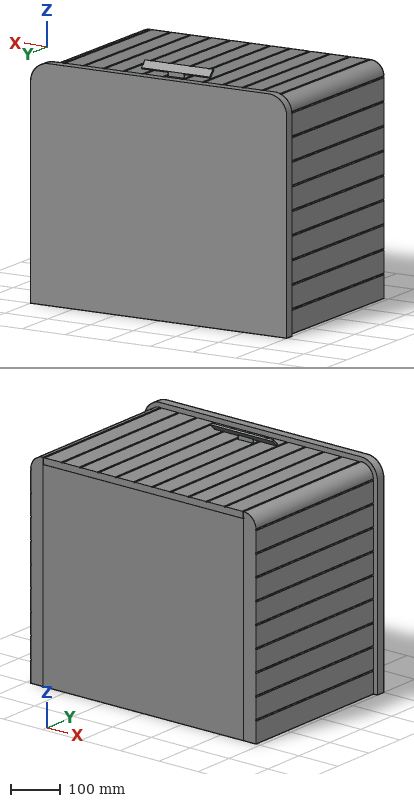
import cadquery as cq
import math


width = 600.0
depth = 400.0
height = 513.5
back_height = 500.5
back_thickness = 21.0
back_corner_radius = 42.0
back_margin = 10.0
lid_thickness = 15.0
lid_gap = 2.0
front_thickness = 15.0

groove_width = 3.95
groove_depth = 1.5
side_planks = 9
lid_planks = 11

grip_width = 159.5
grip_thickness = 4.0
grip_length = 19.0
grip_tilt = 45.0
handle_setback = 66.5
tab_width = 36.0
tab_thickness = 5.5
tab_edge_radius = 1.0

body_width = width - 2 * back_margin
body_height = back_height - back_margin
body_depth = depth - back_thickness
side_thickness = back_corner_radius - back_margin
inner_width = body_width - 2 * side_thickness
lid_width = inner_width - 2 * lid_gap
lid_depth = body_depth - lid_gap
front_height = body_height - lid_thickness


def groove(x, z, length, turn):
    """V-groove cutter along Y, opening upward and then turned about its own axis."""
    cutter = (
        cq.Workplane("XZ")
        .moveTo(-groove_width / 2, 0)
        .lineTo(0, -groove_depth)
        .lineTo(groove_width / 2, 0)
        .close()
        .extrude(-length)
    )
    return cutter.rotate((0, 0, 0), (0, 1, 0), turn).translate((x, 0, z))


def make_back():
    """Plate with two rounded upper corners that closes the rear of the chest."""
    plate = cq.Workplane("XZ").rect(width, back_height).extrude(-back_thickness)
    plate = plate.translate((0, body_depth, back_height / 2))
    return plate.edges("|Y and >Z").fillet(back_corner_radius)


def make_left_side():
    """Side wall whose outer upper corner is rounded, with plank grooves on its outer face."""
    outer_x = -body_width / 2
    straight_height = body_height - side_thickness
    side = (
        cq.Workplane("XZ")
        .moveTo(outer_x, 0)
        .lineTo(outer_x, straight_height)
        .radiusArc((outer_x + side_thickness, body_height), side_thickness)
        .lineTo(outer_x + side_thickness, 0)
        .close()
        .extrude(-body_depth)
    )
    plank_height = straight_height / side_planks
    for i in range(1, side_planks + 1):
        side = side.cut(groove(outer_x, i * plank_height, body_depth, -90))
    return side


def make_front():
    """Plain panel standing between the sides, under the lid."""
    return cq.Workplane("XY").box(inner_width, front_thickness, front_height, centered=(True, False, False))


def make_lid():
    """Flat lid between the sides, with plank grooves on top and half a groove along each edge."""
    lid = (
        cq.Workplane("XY")
        .box(lid_width, lid_depth, lid_thickness, centered=(True, False, False))
        .translate((0, 0, front_height))
    )
    plank_width = lid_width / lid_planks
    for i in range(lid_planks + 1):
        lid = lid.cut(groove(i * plank_width - lid_width / 2, body_height, lid_depth, 0))
    return lid


def make_handle():
    """Wide grip plate sloping up to the front, on a narrow upright tab."""
    tilt = math.radians(grip_tilt)
    rise = grip_length * math.sin(tilt)
    run = grip_length * math.cos(tilt)
    skin_y = grip_thickness * math.sin(tilt)
    skin_z = grip_thickness * math.cos(tilt)
    rear_y = depth - handle_setback
    upper_z = height - rise
    tab_front_z = upper_z - skin_z + (tab_thickness - skin_y) * math.tan(tilt)
    grip = (
        cq.Workplane("YZ")
        .moveTo(rear_y, upper_z)
        .lineTo(rear_y - run, height)
        .lineTo(rear_y - run - skin_y, height - skin_z)
        .lineTo(rear_y - skin_y, upper_z - skin_z)
        .close()
        .extrude(grip_width / 2, both=True)
    )
    tab = (
        cq.Workplane("YZ")
        .moveTo(rear_y, body_height)
        .lineTo(rear_y, upper_z)
        .lineTo(rear_y - skin_y, upper_z - skin_z)
        .lineTo(rear_y - tab_thickness, tab_front_z)
        .lineTo(rear_y - tab_thickness, body_height)
        .close()
        .extrude(tab_width / 2, both=True)
        .edges("|Z")
        .fillet(tab_edge_radius)
    )
    return grip.union(tab)


back = make_back()
left_side = make_left_side()
right_side = left_side.mirror("YZ")
front = make_front()
lid = make_lid()
handle = make_handle()

result = cq.Compound.makeCompound([
    back.val(),
    left_side.val(),
    right_side.val(),
    front.val(),
    lid.val(),
    handle.val(),
])